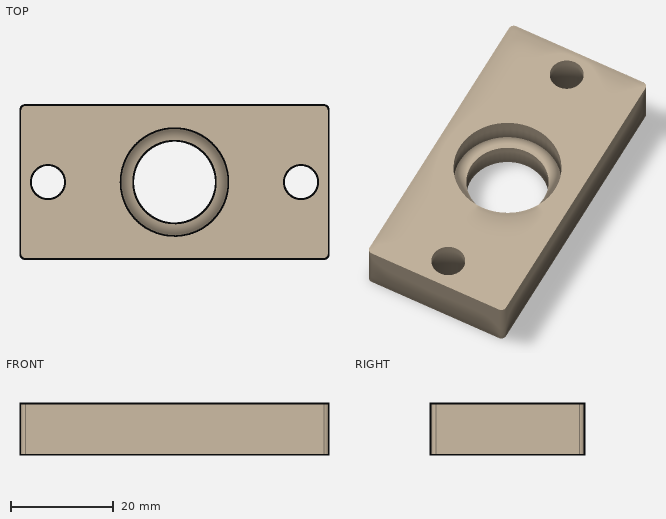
import cadquery as cq

length = 60.0
width = length / 2
thickness = length / 6
corner_radius = 1.0

bore_diameter = 16.0
counterbore_diameter = 21.0
counterbore_depth = thickness / 2

mounting_hole_diameter = 6.6
mounting_hole_spacing = 49.2

plate = (
    cq.Workplane("XY")
    .box(length, width, thickness)
    .edges("|Z")
    .fillet(corner_radius)
)

bored_plate = (
    plate.faces(">Z")
    .workplane()
    .cboreHole(bore_diameter, counterbore_diameter, counterbore_depth)
)

result = (
    bored_plate.faces(">Z")
    .workplane(origin=(0, 0, 0))
    .rarray(mounting_hole_spacing, 0.6, 2, 1)
    .hole(mounting_hole_diameter)
)